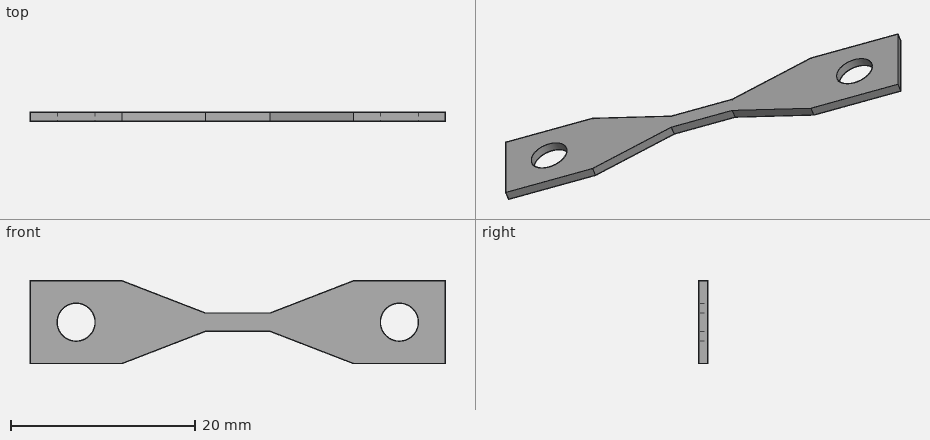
import cadquery as cq

length = 45.1
thickness = 1.0
tab_height = 9.0

tab_length = 10.0
neck_length = 7.0
neck_height = 2.0

hole_diameter = 4.1
hole_offset = length / 2 - tab_length / 2


def waisted_strip():
    """Flat strip with two wide end tabs tapering to a narrow central neck."""
    half_length = length / 2
    taper_start = half_length - tab_length
    half_neck = neck_length / 2
    upper_right = [
        (half_neck, neck_height / 2),
        (taper_start, tab_height / 2),
        (half_length, tab_height / 2),
    ]
    lower_right = [(x, -z) for x, z in reversed(upper_right)]
    right = upper_right + lower_right
    left = [(-x, -z) for x, z in right]
    return (
        cq.Workplane("XZ")
        .polyline(right + left)
        .close()
        .extrude(thickness / 2, both=True)
    )


def tab_holes():
    """Cylinders that cut the through holes along Y."""
    return (
        cq.Workplane("XZ", origin=(0, thickness, 0))
        .pushPoints([(-hole_offset, 0), (hole_offset, 0)])
        .circle(hole_diameter / 2)
        .extrude(2 * thickness)
    )


result = waisted_strip().cut(tab_holes())